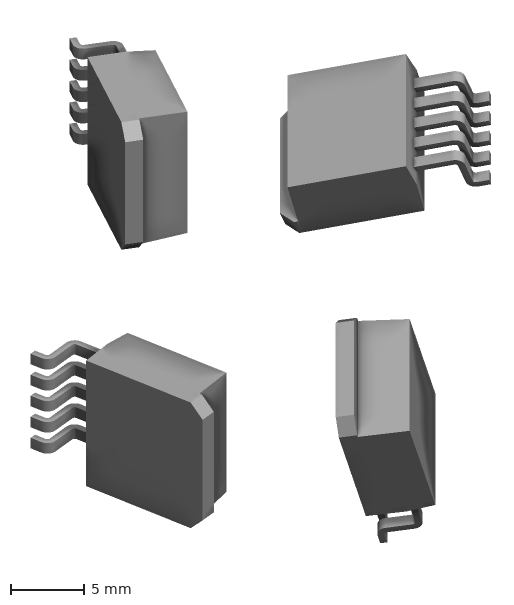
import cadquery as cq


total_length = 14.66
package_depth = 4.82
tab_height = 10.16

parting_x = 4.49
parting_y = 2.79
front_left_x = 4.74
front_right_x = 13.49
back_left_x = 4.65
back_right_x = 13.08
housing_front_height = 10.16
housing_back_height = 9.66

tab_thickness = 1.28
tab_chamfer = 1.01

lead_count = 5
lead_pitch = 1.7
lead_width = 0.85
lead_thickness = 0.5
lead_back_y = 3.31
lead_foot_length = 0.9
bend_inner_radius = 0.2
bend_outer_radius = bend_inner_radius + lead_thickness
riser_right_x = lead_foot_length + bend_outer_radius
riser_left_x = riser_right_x - lead_thickness


def make_housing():
    """Block with a ridge along its lead side, narrowing in height toward the back."""
    plan = (
        cq.Workplane("XY")
        .moveTo(front_left_x, 0)
        .lineTo(front_right_x, 0)
        .lineTo(back_right_x, package_depth)
        .lineTo(back_left_x, package_depth)
        .lineTo(parting_x, parting_y)
        .close()
        .extrude(housing_front_height / 2, both=True)
    )
    side_taper = (
        cq.Workplane("YZ")
        .moveTo(0, -housing_front_height / 2)
        .lineTo(package_depth, -housing_back_height / 2)
        .lineTo(package_depth, housing_back_height / 2)
        .lineTo(0, housing_front_height / 2)
        .close()
        .extrude(total_length)
    )
    return plan.intersect(side_taper)


def make_tab():
    """Flat tab against the sloped housing end, with its two outer corners cut off."""
    end_slope = (front_right_x - back_right_x) / package_depth
    return (
        cq.Workplane("XY")
        .moveTo(front_right_x, 0)
        .lineTo(total_length, 0)
        .lineTo(total_length, tab_thickness)
        .lineTo(front_right_x - end_slope * tab_thickness, tab_thickness)
        .close()
        .extrude(tab_height / 2, both=True)
        .faces(">X")
        .edges("|Y")
        .chamfer(tab_chamfer)
    )


def make_lead(center_z):
    """Gull-wing lead whose inner end lies flush on the sloped housing wall."""
    lead_front_y = lead_back_y - lead_thickness
    wall_slope = (back_left_x - parting_x) / (package_depth - parting_y)
    end_front_x = parting_x + wall_slope * (lead_front_y - parting_y)
    end_back_x = parting_x + wall_slope * (lead_back_y - parting_y)
    return (
        cq.Workplane("XY", origin=(0, 0, center_z))
        .moveTo(0, 0)
        .lineTo(lead_foot_length, 0)
        .radiusArc((riser_right_x, bend_outer_radius), -bend_outer_radius)
        .lineTo(riser_right_x, lead_front_y - bend_inner_radius)
        .radiusArc((riser_right_x + bend_inner_radius, lead_front_y), bend_inner_radius)
        .lineTo(end_front_x, lead_front_y)
        .lineTo(end_back_x, lead_back_y)
        .lineTo(riser_left_x + bend_outer_radius, lead_back_y)
        .radiusArc((riser_left_x, lead_back_y - bend_outer_radius), -bend_outer_radius)
        .lineTo(riser_left_x, bend_outer_radius)
        .radiusArc((lead_foot_length, lead_thickness), bend_inner_radius)
        .lineTo(0, lead_thickness)
        .close()
        .extrude(lead_width / 2, both=True)
    )


housing = make_housing()
tab = make_tab()
leads = []
for index in range(lead_count):
    lead_z = (index - (lead_count - 1) / 2) * lead_pitch
    leads.append(make_lead(lead_z))

result = cq.Compound.makeCompound([housing.val(), tab.val(), *[lead.val() for lead in leads]])